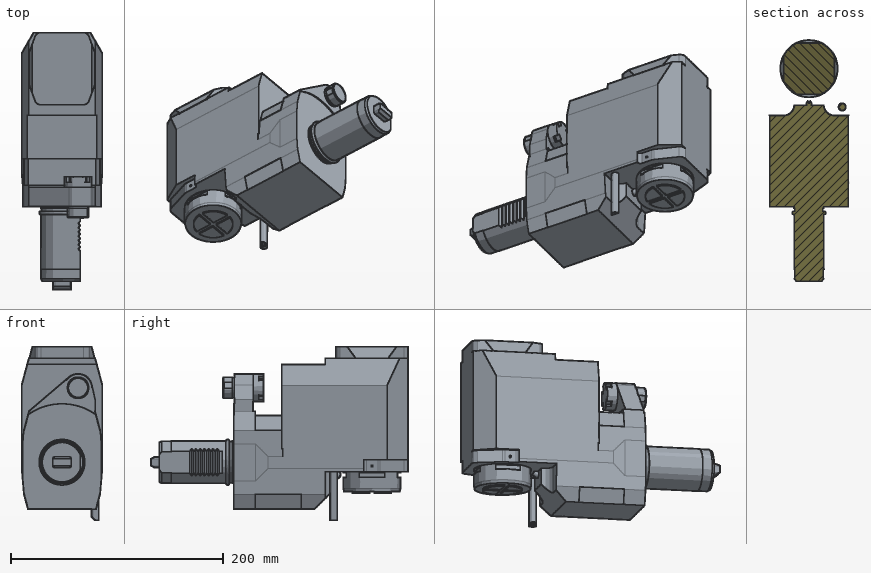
import cadquery as cq
import math

STEEP = math.tan(math.radians(15))
SHALLOW = math.tan(math.radians(5))
REAR_SLOPE = math.tan(math.radians(30))
COVER_SLOPE = math.tan(math.radians(20))

HALF_WIDTH = 38.0
BACK_Y = 164.0
UPPER_FRONT_Y = 45.2
UPPER_BOTTOM_Z = -9.1
UPPER_TAPER_Z = 72.5
UPPER_TOP_Z = 98.0
TOP_STEP_Y = 86.1
TOP_STEP_Z = 92.1
REAR_CHAMFER_LENGTH = 19.6
NOTCH_DEPTH = 0.8
NOTCH_TOP_Z = 12.7

BLOCK_BACK_Y = 86.1
BLOCK_HALF_HEIGHT = 44.1
STEEP_START_Z = 30.1
FLAT_HALF_HEIGHT = 5.8
FLANGE_DEPTH = 20.5
FLANGE_TOP_Z = 48.0
FLANGE_HALF_WIDTH = 37.0
BLOCK_CHAMFER_Y = 76.0
RELIEF_BACK_Y = 63.5
RELIEF_DEPTH = 0.3
RAISED_FACE_HEIGHT = 0.7
RAISED_FACE_RADIUS = 55.0
COLUMN_BACK_Y = 95.8
COLUMN_HALF_WIDTH = 14.0

LUG_BACK_Y = 18.4
LUG_RADIUS = 13.2
LUG_SHOULDER_Z = 59.4
BOLT_X = 15.1
BOLT_Z = 70.0
NUT_DIAMETER = 26.0
NUT_BACK_Y = 28.2
NUT_SLOT_DEPTH = 4.8
NUT_SLOT_WIDTH = 5.5
NUT_SLOT_FLOOR_RADIUS = 9.0
BOLT_DIAMETER = 20.0
BOLT_NECK_DIAMETER = 19.0
BOLT_NECK_END_Y = -1.4
BOLT_END_Y = -10.2
BOLT_CHAMFER = 0.9
BOLT_ACROSS_FLATS = 19.1
BOLT_FLAT_TURN = 15.0
BOLT_FLAT_LENGTH = 7.4

SHANK_DIAMETER = 40.0
SHANK_LENGTH = 70.0
SHANK_TIP_DIAMETER = 39.6
SHANK_TIP_Y = -58.8
SHANK_CHAMFER_LENGTH = 2.2
SHANK_CHAMFER_DEPTH = 1.2
GROOVE_DIAMETER = 39.0
GROOVE_START_Y = -1.5
GROOVE_END_Y = -7.3
RING_SECTION_DIAMETER = 3.4
RING_OUTER_RADIUS = 21.5
SHANK_FLAT_X = 17.2
SHANK_FLAT_START_Y = -10.8
TOOTH_PITCH = 4.0
TOOTH_COUNT = 7
TOOTH_DEPTH = 1.7
FIRST_TOOTH_Y = -15.5
TANG_WIDTH = 17.2
TANG_HEIGHT = 10.2
TANG_END_Y = -77.8
TANG_EDGE_RADIUS = 2.0
TANG_CHAMFER_LENGTH = 3.4
TANG_CHAMFER_DEPTH = 2.0

TOOL_AXIS_Y = 130.0
COVER_TOP_Z = 108.7
COVER_INSET = 0.4
COVER_FLAT_HALF_WIDTH = 24.0
COVER_CORNER_RADIUS = 6.0
POCKET_TOP_Z = 2.5
POCKET_FRONT_Y = 122.1
POCKET_FLOOR_X = 34.0
POCKET_CORNER_RADIUS = 2.6
PIN_HOLE_DIAMETER = 1.7
PIN_HOLE_DEPTH = 3.0
PIN_HOLE_Z = -3.6

TUBE_DIAMETER = 7.0
TUBE_BORE_DIAMETER = 4.0
TUBE_BORE_DEPTH = 3.0
TUBE_X = 31.2
TUBE_Y = 94.0
TUBE_END_Z = -54.8
TUBE_CUT = 3.5
BALL_DIAMETER = 7.0
BALL_BORE_DIAMETER = 2.1
BALL_Y = 97.1
BALL_Z = -11.9

TOOL_NUT_DIAMETER = 54.0
TOOL_NUT_BOTTOM_Z = -27.6
TOOL_NUT_CHAMFER_HEIGHT = 3.2
TOOL_NUT_CHAMFER_DEPTH = 0.7
TOOL_NUT_ACROSS_FLATS = 48.4
TOOL_NUT_LIP_HEIGHT = 0.7
TOOL_NUT_FLAT_HEIGHT = 4.4
TOOL_FACE_DIAMETER = 37.0
TOOL_FACE_BOTTOM_Z = -29.0
TOOL_FACE_SLOT_WIDTH = 4.0


def box(x_range, y_range, z_range):
    """Box given by its lower and upper limits on each axis."""
    (x0, x1), (y0, y1), (z0, z1) = x_range, y_range, z_range
    return cq.Workplane("XY").box(x1 - x0, y1 - y0, z1 - z0, centered=False).translate((x0, y0, z0))


def disc(x, z, diameter, y_front, y_back):
    """Cylinder along Y between two Y positions."""
    plane = cq.Workplane("XZ", origin=(x, y_front, z))
    return plane.circle(diameter / 2).extrude(y_front - y_back)


def upright(x, y, diameter, z_bottom, z_top):
    """Cylinder along Z between two heights."""
    return cq.Workplane("XY", origin=(x, y, z_bottom)).circle(diameter / 2).extrude(z_top - z_bottom)


def prism_along_y(right_half, y_front, y_back):
    """Prism along Y from the right half of a section that is mirrored about X = 0."""
    left_half = [(-x, z) for x, z in reversed(right_half)]
    plane = cq.Workplane("XZ", origin=(0, y_front, 0))
    return plane.polyline(right_half + left_half).close().extrude(y_front - y_back)


def upper_half_width(z):
    """Half width of the upper housing inside its top taper."""
    return HALF_WIDTH - (z - UPPER_TAPER_Z) * STEEP


STEEP_START_X = HALF_WIDTH - (STEEP_START_Z - FLAT_HALF_HEIGHT) * SHALLOW


def block_half_width(z):
    """Half width of the lower block at a height z inside its steep taper."""
    return STEEP_START_X - (abs(z) - STEEP_START_Z) * STEEP


def block_section(top_z):
    """Right half of the lower block section, bottom to top."""
    return [
        (block_half_width(BLOCK_HALF_HEIGHT), -BLOCK_HALF_HEIGHT),
        (STEEP_START_X, -STEEP_START_Z),
        (HALF_WIDTH, -FLAT_HALF_HEIGHT),
        (HALF_WIDTH, FLAT_HALF_HEIGHT),
        (STEEP_START_X, STEEP_START_Z),
        (block_half_width(top_z), top_z),
    ]


def upper_housing():
    bottom_x = HALF_WIDTH - (-FLAT_HALF_HEIGHT - UPPER_BOTTOM_Z) * SHALLOW
    section = [
        (bottom_x, UPPER_BOTTOM_Z),
        (HALF_WIDTH, -FLAT_HALF_HEIGHT),
        (HALF_WIDTH, UPPER_TAPER_Z),
        (upper_half_width(UPPER_TOP_Z), UPPER_TOP_Z),
    ]
    body = prism_along_y(section, UPPER_FRONT_Y, BACK_Y)
    full_width = (-HALF_WIDTH, HALF_WIDTH)
    body = body.cut(box(full_width, (UPPER_FRONT_Y, TOP_STEP_Y), (TOP_STEP_Z, UPPER_TOP_Z)))
    notch_y = (UPPER_FRONT_Y, UPPER_FRONT_Y + NOTCH_DEPTH)
    body = body.cut(box(full_width, notch_y, (UPPER_BOTTOM_Z, NOTCH_TOP_Z)))
    inset = REAR_CHAMFER_LENGTH * REAR_SLOPE
    for side in (-1, 1):
        corner = [
            (side * HALF_WIDTH, BACK_Y),
            (side * (HALF_WIDTH - inset), BACK_Y),
            (side * HALF_WIDTH, BACK_Y - REAR_CHAMFER_LENGTH),
        ]
        height = UPPER_TOP_Z - UPPER_BOTTOM_Z
        body = body.cut(
            cq.Workplane("XY", origin=(0, 0, UPPER_BOTTOM_Z)).polyline(corner).close().extrude(height)
        )
    return body


def lower_block():
    block = prism_along_y(block_section(BLOCK_HALF_HEIGHT), FLANGE_DEPTH, BLOCK_BACK_Y)
    block = block.cut(steep_face_reliefs())
    flange = prism_along_y(block_section(FLANGE_TOP_Z), RAISED_FACE_HEIGHT, FLANGE_DEPTH)
    top_x = block_half_width(FLANGE_TOP_Z)
    face_section = block_section(FLANGE_TOP_Z) + [(top_x, RAISED_FACE_RADIUS)]
    raised_face = prism_along_y(face_section, 0, RAISED_FACE_HEIGHT)
    raised_face = raised_face.intersect(disc(0, 0, 2 * RAISED_FACE_RADIUS, 0, RAISED_FACE_HEIGHT))
    return block.union(flange).union(raised_face).union(rear_column()).cut(rear_cut())


def steep_face_reliefs():
    """Shallow reliefs on the four steep side faces, from the flange to the middle of the block."""
    edge_x = block_half_width(BLOCK_HALF_HEIGHT)
    section = [
        (STEEP_START_X - RELIEF_DEPTH, STEEP_START_Z),
        (STEEP_START_X, STEEP_START_Z),
        (edge_x, BLOCK_HALF_HEIGHT),
        (edge_x - RELIEF_DEPTH, BLOCK_HALF_HEIGHT),
    ]
    plane = cq.Workplane("XZ", origin=(0, FLANGE_DEPTH, 0))
    relief = plane.polyline(section).close().extrude(FLANGE_DEPTH - RELIEF_BACK_Y)
    upper_pair = relief.union(relief.mirror("YZ"))
    return upper_pair.union(upper_pair.mirror("XY"))


def rear_column():
    """Narrow column behind the lower block, joined to its back face by concave arcs."""
    reach = COLUMN_BACK_Y - BLOCK_BACK_Y
    foot_x = COLUMN_HALF_WIDTH + reach
    bend = reach * math.sqrt(0.5)
    return (
        cq.Workplane("XY", origin=(0, 0, -BLOCK_HALF_HEIGHT))
        .moveTo(-foot_x, BLOCK_BACK_Y)
        .lineTo(foot_x, BLOCK_BACK_Y)
        .threePointArc((foot_x - bend, COLUMN_BACK_Y - bend), (COLUMN_HALF_WIDTH, COLUMN_BACK_Y))
        .lineTo(-COLUMN_HALF_WIDTH, COLUMN_BACK_Y)
        .threePointArc((bend - foot_x, COLUMN_BACK_Y - bend), (-foot_x, BLOCK_BACK_Y))
        .close()
        .extrude(BLOCK_HALF_HEIGHT + UPPER_BOTTOM_Z)
    )


def rear_cut():
    """45 degree wedge off the lower rear edge of the block and column."""
    reach = COLUMN_BACK_Y - BLOCK_CHAMFER_Y
    wedge = [
        (BLOCK_CHAMFER_Y, -BLOCK_HALF_HEIGHT),
        (COLUMN_BACK_Y, -BLOCK_HALF_HEIGHT),
        (COLUMN_BACK_Y, -BLOCK_HALF_HEIGHT + reach),
    ]
    return cq.Workplane("YZ").polyline(wedge).close().extrude(HALF_WIDTH, both=True)


def flange_side_reliefs():
    """Flats on both sides of the flange, each with a ramp out to the full width."""
    ramp = (HALF_WIDTH - FLANGE_HALF_WIDTH) / SHALLOW
    outline = [
        (FLANGE_HALF_WIDTH, 0),
        (FLANGE_HALF_WIDTH, FLANGE_DEPTH),
        (HALF_WIDTH, FLANGE_DEPTH + ramp),
        (HALF_WIDTH, 0),
    ]
    relief = cq.Workplane("XY").polyline(outline).close().extrude(STEEP_START_Z, both=True)
    return relief.union(relief.mirror("YZ"))


def lug_tangent(corner, side):
    """Point where a line from an outline corner touches the lug's round end."""
    dx = corner[0] - BOLT_X
    dz = corner[1] - BOLT_Z
    angle = math.atan2(dz, dx) + side * math.acos(LUG_RADIUS / math.hypot(dx, dz))
    return (BOLT_X + LUG_RADIUS * math.cos(angle), BOLT_Z + LUG_RADIUS * math.sin(angle))


def clamping_lug():
    edge_x = block_half_width(FLANGE_TOP_Z)
    left_corner = (-edge_x, FLANGE_TOP_Z)
    right_corner = (edge_x, LUG_SHOULDER_Z)
    return (
        cq.Workplane("XZ", origin=(0, RAISED_FACE_HEIGHT, 0))
        .moveTo(-edge_x, STEEP_START_Z)
        .lineTo(edge_x, STEEP_START_Z)
        .lineTo(*right_corner)
        .lineTo(*lug_tangent(right_corner, 1))
        .threePointArc((BOLT_X, BOLT_Z + LUG_RADIUS), lug_tangent(left_corner, -1))
        .lineTo(*left_corner)
        .close()
        .extrude(RAISED_FACE_HEIGHT - LUG_BACK_Y)
    )


def slotted_nut():
    nut = disc(BOLT_X, BOLT_Z, NUT_DIAMETER, LUG_BACK_Y, NUT_BACK_Y)
    for angle in (45, 135, 225, 315):
        slot = box(
            (NUT_SLOT_FLOOR_RADIUS, NUT_DIAMETER),
            (NUT_BACK_Y - NUT_SLOT_DEPTH, NUT_BACK_Y),
            (-NUT_SLOT_WIDTH / 2, NUT_SLOT_WIDTH / 2),
        )
        slot = slot.rotate((0, 0, 0), (0, 1, 0), angle)
        nut = nut.cut(slot.translate((BOLT_X, 0, BOLT_Z)))
    return nut


def bolt_end():
    neck = disc(BOLT_X, BOLT_Z, BOLT_NECK_DIAMETER, BOLT_NECK_END_Y, RAISED_FACE_HEIGHT)
    head = disc(BOLT_X, BOLT_Z, BOLT_DIAMETER, BOLT_END_Y, BOLT_NECK_END_Y).faces("<Y").chamfer(BOLT_CHAMFER)
    for turn in (0, 180):
        flat = box(
            (BOLT_ACROSS_FLATS / 2, BOLT_DIAMETER),
            (BOLT_NECK_END_Y - BOLT_FLAT_LENGTH, BOLT_NECK_END_Y),
            (-BOLT_DIAMETER, BOLT_DIAMETER),
        )
        flat = flat.rotate((0, 0, 0), (0, 1, 0), turn - BOLT_FLAT_TURN)
        head = head.cut(flat.translate((BOLT_X, 0, BOLT_Z)))
    return neck.union(head)


def shank():
    radius = SHANK_DIAMETER / 2
    tip_radius = SHANK_TIP_DIAMETER / 2
    half_profile = [
        (0, 0),
        (radius, 0),
        (radius, GROOVE_START_Y),
        (GROOVE_DIAMETER / 2, GROOVE_START_Y),
        (GROOVE_DIAMETER / 2, GROOVE_END_Y),
        (radius, GROOVE_END_Y),
        (radius, SHANK_TIP_Y),
        (tip_radius, SHANK_TIP_Y),
        (tip_radius, SHANK_CHAMFER_LENGTH - SHANK_LENGTH),
        (tip_radius - SHANK_CHAMFER_DEPTH, -SHANK_LENGTH),
        (0, -SHANK_LENGTH),
    ]
    body = cq.Workplane("XY").polyline(half_profile).close().revolve(360, (0, 0, 0), (0, 1, 0))
    return body.cut(toothed_flat()).union(sealing_ring()).union(drive_tang())


def toothed_flat():
    """Material removed along the +X side: a long flat with V grooves across it."""
    across = (-SHANK_DIAMETER / 2, SHANK_DIAMETER / 2)
    cutter = box((SHANK_FLAT_X, SHANK_DIAMETER), (-SHANK_LENGTH, SHANK_FLAT_START_Y), across)
    for index in range(TOOTH_COUNT):
        y = FIRST_TOOTH_Y - index * TOOTH_PITCH
        groove = [
            (SHANK_FLAT_X, y - TOOTH_PITCH / 2),
            (SHANK_FLAT_X - TOOTH_DEPTH, y),
            (SHANK_FLAT_X, y + TOOTH_PITCH / 2),
        ]
        cutter = cutter.union(
            cq.Workplane("XY").polyline(groove).close().extrude(SHANK_DIAMETER / 2, both=True)
        )
    return cutter


def sealing_ring():
    section_radius = RING_SECTION_DIAMETER / 2
    centre = (RING_OUTER_RADIUS - section_radius, GROOVE_END_Y + section_radius)
    ring = cq.Workplane("XY").center(*centre).circle(section_radius)
    return ring.revolve(360, (-centre[0], 0, 0), (-centre[0], 1, 0))


def drive_tang():
    tang = box(
        (-TANG_WIDTH / 2, TANG_WIDTH / 2),
        (TANG_END_Y, -SHANK_LENGTH),
        (-TANG_HEIGHT / 2, TANG_HEIGHT / 2),
    )
    tang = tang.edges("|Y").fillet(TANG_EDGE_RADIUS)
    half_height = TANG_HEIGHT / 2
    tip_half_height = half_height - TANG_CHAMFER_DEPTH
    chamfer_y = TANG_END_Y + TANG_CHAMFER_LENGTH
    side_profile = [
        (-SHANK_LENGTH, -half_height),
        (chamfer_y, -half_height),
        (TANG_END_Y, -tip_half_height),
        (TANG_END_Y, tip_half_height),
        (chamfer_y, half_height),
        (-SHANK_LENGTH, half_height),
    ]
    return tang.intersect(cq.Workplane("YZ").polyline(side_profile).close().extrude(TANG_WIDTH, both=True))


def top_cover():
    """Cover plate with sloped, rounded corners; its sides lean like the housing taper, slightly inset."""
    half_length = BACK_Y - TOOL_AXIS_Y
    widest_x = COVER_FLAT_HALF_WIDTH + half_length * COVER_SLOPE
    outline = [
        (COVER_FLAT_HALF_WIDTH, half_length),
        (widest_x, 0),
        (COVER_FLAT_HALF_WIDTH, -half_length),
        (-COVER_FLAT_HALF_WIDTH, -half_length),
        (-widest_x, 0),
        (-COVER_FLAT_HALF_WIDTH, half_length),
    ]
    plate = cq.Workplane("XY", origin=(0, TOOL_AXIS_Y, UPPER_TOP_Z)).polyline(outline).close()
    plate = plate.extrude(COVER_TOP_Z - UPPER_TOP_Z)
    plate = plate.edges("|Z and (>Y or <Y)").fillet(COVER_CORNER_RADIUS)
    taper = [
        (upper_half_width(UPPER_TOP_Z) - COVER_INSET, UPPER_TOP_Z),
        (upper_half_width(COVER_TOP_Z) - COVER_INSET, COVER_TOP_Z),
    ]
    return plate.intersect(prism_along_y(taper, TOOL_AXIS_Y - half_length, BACK_Y))


def bottom_pocket():
    """Pocket low on the +X rear side, around a rounded base and with a pin hole in its floor."""
    floor_back_y = BACK_Y - (POCKET_FLOOR_X - COVER_FLAT_HALF_WIDTH) / COVER_SLOPE
    base_outline = [
        (0, POCKET_FRONT_Y),
        (POCKET_FLOOR_X, POCKET_FRONT_Y),
        (POCKET_FLOOR_X, floor_back_y),
        (COVER_FLAT_HALF_WIDTH, BACK_Y),
        (0, BACK_Y),
    ]
    base = cq.Workplane("XY", origin=(0, 0, UPPER_BOTTOM_Z)).polyline(base_outline).close()
    base = base.extrude(POCKET_TOP_Z - UPPER_BOTTOM_Z)
    for x, y in ((POCKET_FLOOR_X, floor_back_y), (COVER_FLAT_HALF_WIDTH, BACK_Y)):
        base = base.edges(upright_edge_near(x, y)).fillet(COVER_CORNER_RADIUS)
    pocket = box((0, HALF_WIDTH), (POCKET_FRONT_Y, BACK_Y), (UPPER_BOTTOM_Z, POCKET_TOP_Z)).cut(base)
    pocket = pocket.edges(upright_edge_near(POCKET_FLOOR_X, POCKET_FRONT_Y)).fillet(POCKET_CORNER_RADIUS)
    hole = cq.Workplane("YZ", origin=(POCKET_FLOOR_X - PIN_HOLE_DEPTH, TOOL_AXIS_Y, PIN_HOLE_Z))
    return pocket.union(hole.circle(PIN_HOLE_DIAMETER / 2).extrude(PIN_HOLE_DEPTH))


def upright_edge_near(x, y):
    """Selector for the vertical pocket edge at a place in plan."""
    return cq.selectors.NearestToPointSelector((x, y, (UPPER_BOTTOM_Z + POCKET_TOP_Z) / 2))


def coolant_tube():
    """Tube down from the housing, its end cut at 45 degrees towards -X and bored square to the cut."""
    tube = upright(TUBE_X, TUBE_Y, TUBE_DIAMETER, TUBE_END_Z, UPPER_BOTTOM_Z)
    left_x = TUBE_X - TUBE_DIAMETER / 2
    corner = [(left_x, TUBE_END_Z), (left_x + TUBE_CUT, TUBE_END_Z), (left_x, TUBE_END_Z + TUBE_CUT)]
    cut = cq.Workplane("XZ", origin=(0, TUBE_Y, 0)).polyline(corner).close().extrude(TUBE_DIAMETER, both=True)
    mouth = (left_x + TUBE_CUT / 2, TUBE_Y, TUBE_END_Z + TUBE_CUT / 2)
    bore = cq.Workplane("XY").circle(TUBE_BORE_DIAMETER / 2).extrude(TUBE_BORE_DEPTH, both=True)
    bore = bore.rotate((0, 0, 0), (0, 1, 0), 45).translate(mouth)
    return tube.cut(cut).cut(bore)


def coolant_ball():
    ball = cq.Workplane("XY").sphere(BALL_DIAMETER / 2)
    bore = cq.Workplane("XY").circle(BALL_BORE_DIAMETER / 2).extrude(-BALL_DIAMETER)
    bore = bore.rotate((0, 0, 0), (1, 0, 0), 45)
    return ball.cut(bore).translate((0, BALL_Y, BALL_Z))


def holder():
    body = upper_housing().union(lower_block()).cut(flange_side_reliefs())
    pocket = bottom_pocket()
    body = body.cut(pocket).cut(pocket.mirror("YZ"))
    for feature in (top_cover, clamping_lug, slotted_nut, bolt_end, shank, coolant_tube, coolant_ball):
        body = body.union(feature())
    return body


def tool_nut():
    nut = upright(0, TOOL_AXIS_Y, TOOL_NUT_DIAMETER, TOOL_NUT_BOTTOM_Z, UPPER_BOTTOM_Z)
    nut = nut.faces("<Z").chamfer(TOOL_NUT_CHAMFER_HEIGHT, TOOL_NUT_CHAMFER_DEPTH)
    face = upright(0, TOOL_AXIS_Y, TOOL_FACE_DIAMETER, TOOL_FACE_BOTTOM_Z, TOOL_NUT_BOTTOM_Z)
    flat_top_z = UPPER_BOTTOM_Z - TOOL_NUT_LIP_HEIGHT
    for turn in (0, 90, 180, 270):
        flat = box(
            (TOOL_NUT_ACROSS_FLATS / 2, TOOL_NUT_DIAMETER),
            (-TOOL_NUT_DIAMETER, TOOL_NUT_DIAMETER),
            (flat_top_z - TOOL_NUT_FLAT_HEIGHT, flat_top_z),
        )
        slot = box(
            (0, TOOL_FACE_DIAMETER),
            (-TOOL_FACE_SLOT_WIDTH / 2, TOOL_FACE_SLOT_WIDTH / 2),
            (TOOL_FACE_BOTTOM_Z, TOOL_NUT_BOTTOM_Z),
        )
        nut = nut.cut(flat.rotate((0, 0, 0), (0, 0, 1), turn).translate((0, TOOL_AXIS_Y, 0)))
        face = face.cut(slot.rotate((0, 0, 0), (0, 0, 1), turn).translate((0, TOOL_AXIS_Y, 0)))
    return nut.union(face)


result = cq.Compound.makeCompound([holder().val(), tool_nut().val()])